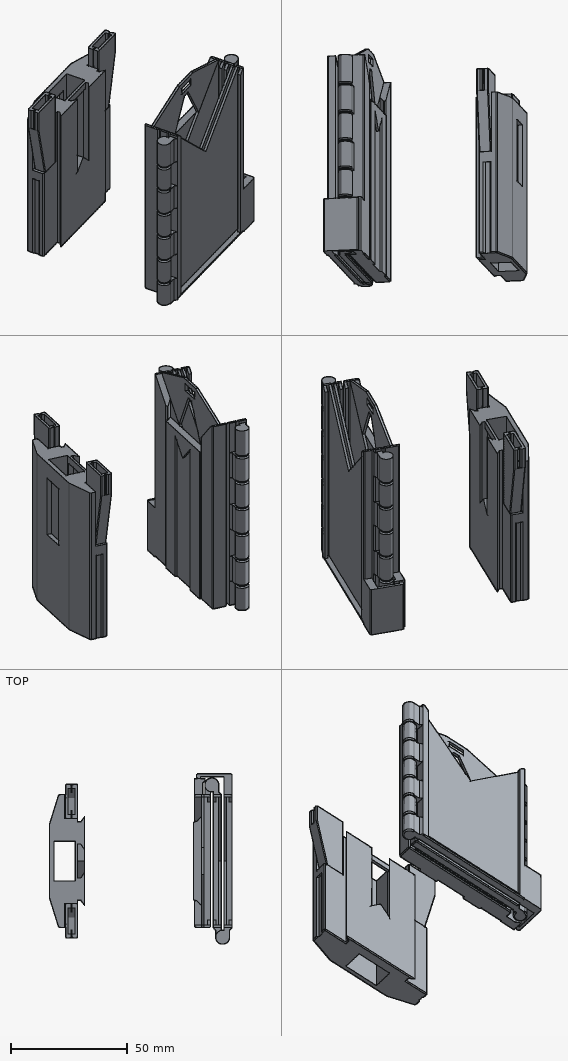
import cadquery as cq
import math

CENTER_Y = -0.92
CUT_MARGIN = 4.9

LEAF_HALF_WIDTH = 28.6
LEAF_TOP = 41.0
LEAF_BOTTOM = -46.6
LEAF_THICKNESS = 3.6
LEAF_GAP = 1.02
LEAF_WALL = 1.2
LIP_THICKNESS = 1.4
LIP_HALF_OPENING = 25.4
BOTTOM_CHAMFER = 0.5
SIDE_CHAMFER = 0.6
STACK_BACK = 39.23
LEAF_PITCH = LEAF_THICKNESS + LEAF_GAP
BACK_LEAF_X = STACK_BACK - LEAF_THICKNESS
MIDDLE_LEAF_X = BACK_LEAF_X - LEAF_PITCH
FRONT_LEAF_BACK = MIDDLE_LEAF_X - LEAF_GAP
POCKET_HALF_WIDTH = LEAF_HALF_WIDTH - LEAF_WALL
NOTCH_TIP = LEAF_TOP - POCKET_HALF_WIDTH

FRONT_LEAF_X = 22.995
WEB_X = 26.01
WEB_BACK = WEB_X + LEAF_WALL
FILL_PROUD = 0.4
FILL_TOP = 23.9
FILL_FACE = FRONT_LEAF_X - FILL_PROUD
CHANNEL_BEVEL = 0.5
KEYWAY_DEPTH = 1.0
KEYWAY_TOP = 20.8

DOVETAIL_HALF_WIDTH = 16.87
DOVETAIL_HALF_FLARE = 19.1
DOVETAIL_STRAIGHT = 1.3
FLARE_X = FILL_FACE + DOVETAIL_STRAIGHT
KEYWAY_HALF_WIDTH = 7.3
KEYWAY_HALF_MOUTH = 4.9

HINGE_RADIUS = 3.0
HINGE_Y = 32.7
KNUCKLE_COUNT = 7
KNUCKLE_PITCH = 12.4
KNUCKLE_TOP = LEAF_TOP - LEAF_WALL
FIRST_JOINT = 27.2
KNUCKLE_GAP = 0.4
KNUCKLE_CHAMFER = 0.6
GUSSET = 1.1

LATCH_OUTER_Y = 37.5
LATCH_THICKNESS = 1.4
LATCH_TOP = -23.6
LATCH_TIP_X = 23.8
HOOK_X = 24.3
HOOK_WIDTH = 1.4
CATCH_OUTER_Y = 35.4
CATCH_TOP = -22.9
CATCH_WAIST_X = 26.6
CATCH_NOSE = 1.0

TIP_TOP = 48.6
TIP_HALF_WIDTH = 5.79
TIP_OPENING_TOP = 40.7
TIP_OPENING_HALF_TOP = 1.6
TIP_OPENING_HALF_BOTTOM = 10.5
TIP_SLOT_HALF_WIDTH = 4.8
TIP_SLOT_TAPER = 0.9
TIP_SLOT_BOTTOM = 43.1
TIP_SLOT_TOP = 46.3

COVER_FRONT = -39.23
COVER_SHOULDER_X = -35.2
COVER_BACK = -27.0
COVER_TOP = 22.0
COVER_BOTTOM = -48.6
COVER_HALF_FACE = 15.7
CORNER_BEVEL = 0.5
TONGUE_BACK = -24.06
SHAFT_FRONT = -37.1
SHAFT_BACK = -28.2
SHAFT_HALF_WIDTH = 8.5
WINDOW_HALF_WIDTH = 5.79
WINDOW_TOP = 14.7
WINDOW_BOTTOM = -12.3
BACK_BAND_HEIGHT = 3.3
SIDE_GROOVE_FRONT = -32.6
SIDE_GROOVE_WIDTH = 3.5
SIDE_GROOVE_DEPTH = 0.8
SIDE_GROOVE_TOP = -8.6

CLIP_FRONT = -32.3
CLIP_CLEARANCE = 0.4
CLIP_INNER_Y = 18.2
CLIP_OUTER_Y = 33.1
CLIP_TOP = 31.5
CLIP_FOOT = -4.0
CLIP_FOOT_Y = 27.3
CLIP_SLIT_WIDTH = 0.4
CLIP_EDGE_CHAMFER = 0.4
CLIP_SLIT_MOUTH = 1.9
CLIP_SLIT_MOUTH_DEPTH = 0.5
DISC_RADIUS = 5.59
DISC_THICKNESS = 2.9
DISC_BOTTOM = 20.4


def block(x0, x1, y0, y1, z0, z1):
    """Box between two opposite corners."""
    return cq.Workplane("XY").box(x1 - x0, y1 - y0, z1 - z0, centered=False).translate((x0, y0, z0))


def strip(x0, x1, half_width, z0, z1):
    """Box centred on the symmetry plane."""
    return block(x0, x1, -half_width, half_width, z0, z1)


def upright(points, z0, z1):
    """Prism along Z with an outline in X and Y."""
    return cq.Workplane("XY").workplane(offset=z0).polyline(points).close().extrude(z1 - z0)


def panel(points, x0, x1):
    """Prism along X with an outline in Y and Z."""
    return cq.Workplane("YZ").workplane(offset=x0).polyline(points).close().extrude(x1 - x0)


def mirrored(half):
    """Closed symmetric outline from the (x, y) points of its +Y half."""
    return half + [(x, -y) for x, y in reversed(half)]


def both_sides(shape):
    """A feature together with its mirror image across the symmetry plane."""
    return shape.union(shape.mirror("XZ"))


def thumb_notch():
    """45-degree V that opens the tops of all the leaves."""
    rise = LEAF_TOP + CUT_MARGIN - NOTCH_TIP
    corner_z = NOTCH_TIP + POCKET_HALF_WIDTH
    points = [
        (0, NOTCH_TIP),
        (POCKET_HALF_WIDTH, corner_z),
        (POCKET_HALF_WIDTH, NOTCH_TIP + rise),
        (-POCKET_HALF_WIDTH, NOTCH_TIP + rise),
        (-POCKET_HALF_WIDTH, corner_z),
    ]
    return panel(points, FRONT_LEAF_X - CUT_MARGIN, STACK_BACK + CUT_MARGIN)


def card_pocket(web_face, lip_face):
    """Card cavity against the web and the narrower opening between its two lips."""
    facing = math.copysign(1, lip_face - web_face)
    lip_inner = lip_face - facing * LIP_THICKNESS
    floor = LEAF_BOTTOM + LEAF_WALL
    top = LEAF_TOP + CUT_MARGIN
    cavity = strip(*sorted((web_face, lip_inner)), POCKET_HALF_WIDTH, floor, top)
    opening = strip(*sorted((web_face, lip_face + facing)), LIP_HALF_OPENING, floor, top)
    return cavity.union(opening)


def leaf_slab(x0, x1, beveled_edges):
    """Plain leaf with chamfers on the chosen vertical edges and around the bottom."""
    slab = strip(x0, x1, LEAF_HALF_WIDTH, LEAF_BOTTOM, LEAF_TOP)
    slab = slab.edges(beveled_edges).chamfer(SIDE_CHAMFER)
    return slab.faces("<Z").edges().chamfer(BOTTOM_CHAMFER)


def knuckle(hinge_x, side, leaf_inner, leaf_outer, index):
    """One hinge barrel with the web that ties it to its leaf on the given Y side."""
    joint = FIRST_JOINT - KNUCKLE_PITCH * index
    is_first = index == 0
    is_last = index == KNUCKLE_COUNT - 1
    top = KNUCKLE_TOP if is_first else joint + KNUCKLE_PITCH - KNUCKLE_GAP / 2
    bottom = LEAF_BOTTOM if is_last else joint + KNUCKLE_GAP / 2
    barrel = cq.Workplane("XY").workplane(offset=bottom).center(hinge_x, side * HINGE_Y)
    barrel = barrel.circle(HINGE_RADIUS).extrude(top - bottom)
    barrel = barrel.faces("<Z").chamfer(KNUCKLE_CHAMFER)
    if not is_first:
        barrel = barrel.faces(">Z").chamfer(KNUCKLE_CHAMFER)
    root_y = LEAF_HALF_WIDTH - SIDE_CHAMFER
    tangent = hinge_x + math.copysign(HINGE_RADIUS, leaf_inner - hinge_x)
    web = upright(
        [
            (leaf_inner, side * HINGE_Y),
            (leaf_inner, side * root_y),
            (leaf_outer, side * root_y),
            (leaf_outer, side * LEAF_HALF_WIDTH),
            (tangent, side * (LEAF_HALF_WIDTH + GUSSET)),
            (tangent, side * HINGE_Y),
        ],
        bottom,
        top,
    )
    return barrel.union(web)


def knuckles(hinge_x, side, leaf_inner, leaf_outer, first):
    """Every second barrel of a hinge, starting with the given one."""
    row = cq.Workplane("XY")
    for index in range(first, KNUCKLE_COUNT, 2):
        row = row.add(knuckle(hinge_x, side, leaf_inner, leaf_outer, index))
    return row


def attach(body, row):
    for item in row.vals():
        body = body.union(cq.Workplane(item))
    return body


FRONT_HINGE_X = (FRONT_LEAF_BACK + MIDDLE_LEAF_X) / 2
BACK_HINGE_X = BACK_LEAF_X - LEAF_GAP / 2


def dovetail_channel():
    """Dovetail channel down the front leaf, with beveled edges at its mouth."""
    outline = [
        (FRONT_LEAF_X, DOVETAIL_HALF_WIDTH + CHANNEL_BEVEL),
        (FRONT_LEAF_X + CHANNEL_BEVEL, DOVETAIL_HALF_WIDTH),
        (FLARE_X, DOVETAIL_HALF_WIDTH),
        (WEB_X, DOVETAIL_HALF_FLARE),
    ]
    return upright(mirrored(outline), LEAF_BOTTOM, LEAF_TOP)


def dovetail_fill():
    """Dovetailed panel that fills the lower channel and stands slightly proud of it."""
    outline = [
        (FILL_FACE, DOVETAIL_HALF_WIDTH - FILL_PROUD),
        (FRONT_LEAF_X, DOVETAIL_HALF_WIDTH),
        (FLARE_X, DOVETAIL_HALF_WIDTH),
        (WEB_X, DOVETAIL_HALF_FLARE),
    ]
    return upright(mirrored(outline), LEAF_BOTTOM, FILL_TOP)


def fill_keyway():
    """Shallow keyway up the fill panel, closed by a V at its top."""
    outline = [
        (-KEYWAY_HALF_WIDTH, LEAF_BOTTOM),
        (KEYWAY_HALF_WIDTH, LEAF_BOTTOM),
        (KEYWAY_HALF_WIDTH, KEYWAY_TOP),
        (0, KEYWAY_TOP - KEYWAY_HALF_WIDTH),
        (-KEYWAY_HALF_WIDTH, KEYWAY_TOP),
    ]
    return panel(outline, FILL_FACE, FILL_FACE + KEYWAY_DEPTH)


def latch_catch():
    """Block on the front leaf that the latch hooks over."""
    root_y = LEAF_HALF_WIDTH - SIDE_CHAMFER
    nose_x = CATCH_WAIST_X + CATCH_NOSE
    return upright(
        [
            (FRONT_LEAF_X, root_y),
            (CATCH_WAIST_X, root_y),
            (CATCH_WAIST_X, CATCH_OUTER_Y - 2 * CATCH_NOSE),
            (nose_x, CATCH_OUTER_Y - CATCH_NOSE),
            (nose_x, CATCH_OUTER_Y),
            (FRONT_LEAF_X, CATCH_OUTER_Y),
        ],
        LEAF_BOTTOM,
        CATCH_TOP,
    )


def make_front_leaf():
    slab = leaf_slab(FRONT_LEAF_X, FRONT_LEAF_BACK, "|Z")
    leaf = slab.cut(card_pocket(WEB_BACK, FRONT_LEAF_BACK)).cut(thumb_notch())
    leaf = leaf.cut(dovetail_channel()).union(dovetail_fill()).cut(fill_keyway()).union(latch_catch())
    tangent = FRONT_HINGE_X - HINGE_RADIUS
    return attach(leaf, knuckles(FRONT_HINGE_X, 1, FRONT_LEAF_BACK, tangent, 1))


def make_middle_leaf():
    back = MIDDLE_LEAF_X + LEAF_THICKNESS
    slab = leaf_slab(MIDDLE_LEAF_X, back, "|Z and >X")
    leaf = slab.cut(card_pocket(back - LEAF_WALL, MIDDLE_LEAF_X)).cut(thumb_notch())
    leaf = attach(leaf, knuckles(FRONT_HINGE_X, 1, MIDDLE_LEAF_X, back, 0))
    return attach(leaf, knuckles(BACK_HINGE_X, -1, back, MIDDLE_LEAF_X, 1))


def latch():
    """Hooked arm that reaches from the back leaf around the stack to the catch."""
    root_y = LEAF_HALF_WIDTH - SIDE_CHAMFER
    inner_y = LATCH_OUTER_Y - LATCH_THICKNESS
    return upright(
        [
            (BACK_LEAF_X, root_y),
            (STACK_BACK, root_y),
            (STACK_BACK, LATCH_OUTER_Y - SIDE_CHAMFER),
            (STACK_BACK - SIDE_CHAMFER, LATCH_OUTER_Y),
            (LATCH_TIP_X + SIDE_CHAMFER, LATCH_OUTER_Y),
            (LATCH_TIP_X, LATCH_OUTER_Y - SIDE_CHAMFER),
            (LATCH_TIP_X, inner_y),
            (HOOK_X, CATCH_OUTER_Y),
            (HOOK_X + HOOK_WIDTH, CATCH_OUTER_Y),
            (HOOK_X + HOOK_WIDTH, inner_y),
            (BACK_LEAF_X, inner_y),
        ],
        LEAF_BOTTOM,
        LATCH_TOP,
    )


def make_back_leaf():
    slab = leaf_slab(BACK_LEAF_X, STACK_BACK, "|Z and >X and >Y")
    leaf = slab.cut(card_pocket(BACK_LEAF_X + LEAF_WALL, STACK_BACK)).cut(thumb_notch()).union(latch())
    return attach(leaf, knuckles(BACK_HINGE_X, -1, BACK_LEAF_X, STACK_BACK, 0))


def make_tip_plate():
    """Plate standing in the thumb notch of the front leaf's web."""
    foot_z = NOTCH_TIP + TIP_OPENING_HALF_BOTTOM
    half = [
        (TIP_HALF_WIDTH, TIP_TOP),
        (LEAF_HALF_WIDTH, LEAF_TOP),
        (POCKET_HALF_WIDTH, LEAF_TOP),
        (TIP_OPENING_HALF_BOTTOM, foot_z),
        (TIP_OPENING_HALF_TOP, TIP_OPENING_TOP),
    ]
    plate = panel(half + [(-y, z) for y, z in reversed(half)], WEB_X, WEB_BACK)
    narrow = TIP_SLOT_HALF_WIDTH - TIP_SLOT_TAPER
    slot = upright(
        mirrored([(WEB_X, TIP_SLOT_HALF_WIDTH), (WEB_BACK, narrow)]),
        TIP_SLOT_BOTTOM,
        TIP_SLOT_TOP,
    )
    return plate.cut(slot)


def cover_keyway():
    """Keyway down the tongue, with a roof-shaped floor below the window."""
    flare_x = COVER_BACK + DOVETAIL_STRAIGHT
    outline = [
        (COVER_BACK, KEYWAY_HALF_WIDTH),
        (flare_x, KEYWAY_HALF_WIDTH),
        (TONGUE_BACK, KEYWAY_HALF_MOUTH),
    ]
    floor = WINDOW_BOTTOM - KEYWAY_HALF_WIDTH
    opening_top = COVER_TOP - BACK_BAND_HEIGHT
    roof = panel(
        [(-KEYWAY_HALF_WIDTH, floor), (KEYWAY_HALF_WIDTH, floor), (0, WINDOW_BOTTOM)],
        SHAFT_BACK,
        TONGUE_BACK,
    )
    keyway = upright(mirrored(outline), floor, COVER_TOP)
    keyway = keyway.union(strip(SHAFT_BACK, COVER_BACK, KEYWAY_HALF_WIDTH, floor, opening_top))
    return keyway.cut(roof)


def side_groove():
    """Sloped-wall groove up the lower part of one side."""
    back = SIDE_GROOVE_FRONT + SIDE_GROOVE_WIDTH
    floor_y = LEAF_HALF_WIDTH - SIDE_GROOVE_DEPTH
    return upright(
        [
            (SIDE_GROOVE_FRONT, LEAF_HALF_WIDTH),
            (back, LEAF_HALF_WIDTH),
            (back - SIDE_GROOVE_DEPTH, floor_y),
            (SIDE_GROOVE_FRONT + SIDE_GROOVE_DEPTH, floor_y),
        ],
        COVER_BOTTOM,
        SIDE_GROOVE_TOP,
    )


def clip_recess():
    """Notch in one side of the cover, open at the top, the side and the back."""
    return block(
        CLIP_FRONT - CLIP_CLEARANCE,
        COVER_BACK,
        CLIP_INNER_Y,
        LEAF_HALF_WIDTH,
        CLIP_FOOT,
        COVER_TOP,
    )


def make_cover():
    outline = [
        (COVER_FRONT, COVER_HALF_FACE),
        (COVER_SHOULDER_X, LEAF_HALF_WIDTH),
        (COVER_BACK, LEAF_HALF_WIDTH),
        (COVER_BACK, DOVETAIL_HALF_WIDTH),
        (COVER_BACK + DOVETAIL_STRAIGHT, DOVETAIL_HALF_WIDTH),
        (TONGUE_BACK, DOVETAIL_HALF_FLARE),
    ]
    cover = upright(mirrored(outline), COVER_BOTTOM, COVER_TOP)
    cover = cover.edges("|Z and (>Y or <Y)").chamfer(CORNER_BEVEL)
    cover = cover.faces("<Z").edges().chamfer(BOTTOM_CHAMFER)
    shaft = strip(SHAFT_FRONT, SHAFT_BACK, SHAFT_HALF_WIDTH, COVER_BOTTOM, COVER_TOP)
    window = strip(COVER_FRONT, SHAFT_FRONT, WINDOW_HALF_WIDTH, WINDOW_BOTTOM, WINDOW_TOP)
    cover = cover.cut(shaft).cut(window).cut(cover_keyway())
    return cover.cut(both_sides(side_groove())).cut(both_sides(clip_recess()))


def disc_pocket():
    """Round-bottomed slot for a disc, open at the top of the clip."""
    middle_x = (CLIP_FRONT + COVER_BACK) / 2
    front = middle_x - DISC_THICKNESS / 2
    middle_y = (CLIP_INNER_Y + CLIP_OUTER_Y) / 2
    axis_z = DISC_BOTTOM + DISC_RADIUS
    disc = cq.Workplane("YZ").workplane(offset=front).center(middle_y, axis_z)
    disc = disc.circle(DISC_RADIUS).extrude(DISC_THICKNESS)
    left = middle_y - DISC_RADIUS
    right = middle_y + DISC_RADIUS
    return disc.union(block(front, front + DISC_THICKNESS, left, right, axis_z, CLIP_TOP))


def clip_slit():
    """Thin slit that splits the head of the clip, with a flared mouth on the outer side."""
    middle_x = (CLIP_FRONT + COVER_BACK) / 2
    half = CLIP_SLIT_WIDTH / 2
    slit = block(middle_x - half, middle_x + half, CLIP_INNER_Y, CLIP_OUTER_Y, COVER_TOP, CLIP_TOP)
    mouth = upright(
        [
            (middle_x - CLIP_SLIT_MOUTH / 2, CLIP_OUTER_Y),
            (middle_x + CLIP_SLIT_MOUTH / 2, CLIP_OUTER_Y),
            (middle_x, CLIP_OUTER_Y - CLIP_SLIT_MOUTH_DEPTH - half),
        ],
        COVER_TOP,
        CLIP_TOP,
    )
    return slit.union(mouth)


def make_clip(side):
    """Clip on the given Y side: a square head on an arm that tapers down into the cover."""
    clip = panel(
        [
            (CLIP_INNER_Y, CLIP_FOOT),
            (CLIP_FOOT_Y, CLIP_FOOT),
            (CLIP_OUTER_Y, COVER_TOP),
            (CLIP_OUTER_Y, CLIP_TOP),
            (CLIP_INNER_Y, CLIP_TOP),
        ],
        CLIP_FRONT,
        COVER_BACK,
    )
    rims = clip.faces("<X or >X").edges("not(|Y)")
    clip = rims.chamfer(CLIP_EDGE_CHAMFER)
    clip = clip.cut(disc_pocket()).cut(clip_slit())
    return clip if side > 0 else clip.mirror("XZ")


cover = make_cover()
front_leaf = make_front_leaf()
middle_leaf = make_middle_leaf()
back_leaf = make_back_leaf()
tip_plate = make_tip_plate()
clips = [make_clip(side) for side in (1, -1)]

bodies = [cover, front_leaf, middle_leaf, back_leaf, tip_plate, *clips]
result = cq.Compound.makeCompound([body.translate((0, CENTER_Y, 0)).val() for body in bodies])